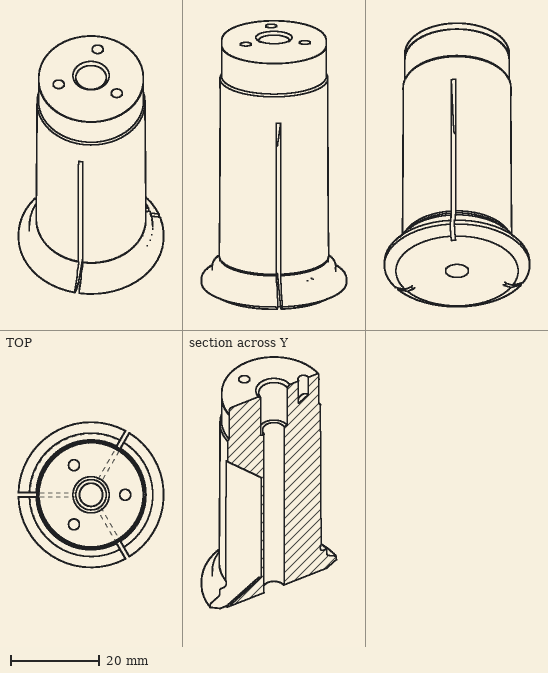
import cadquery as cq
import math

HEIGHT = 60.5

RIM_RADIUS = 33.0 / 2
RIM_BOTTOM = 1.5
RIM_TOP = 2.6
BEVEL_ANGLE = 30.0
BEVEL_BLEND = 0.6
COLLAR_RADIUS = 28.0 / 2
COLLAR_TOP = 6.0
COLLAR_FILLET = 0.5

NECK_RADIUS = 12.3
NECK_FILLET = 0.8
BODY_BOTTOM = 7.9
BODY_EDGE_HEIGHT = 0.4

BODY_BOTTOM_RADIUS = 12.45
BODY_TOP_RADIUS = 24.5 / 2
BODY_TOP = 50.65
SHOULDER_HEIGHT = 0.55

HEAD_RADIUS = 23.8 / 2
HEAD_FILLET = 0.8
GROOVE_TOP = 58.5
GROOVE_HEIGHT = 0.55
GROOVE_DEPTH = 0.1

BORE_DIAMETER = 5.2
COUNTERBORE_DIAMETER = 6.9
COUNTERBORE_DEPTH = 12.1
MOUTH_DIAMETER = 8.2

HOLE_DIAMETER = 2.5
HOLE_PITCH_RADIUS = 7.75
HOLE_DEPTH = 6.05
HOLE_FLOOR_ANGLE = 30.0
HOLE_ANGLES = (0, 120, 240)

SLOT_WIDTH = 0.95
SLOT_INNER_RADIUS = 3.45
SLOT_TOP = 44.3
SLOT_TOP_ANGLE = 45.0
SLOT_FOOT_RADIUS = 12.2
SLOT_FOOT_ANGLE = 30.0
SLOT_OVERRUN = 0.6
SLOT_ANGLES = (60, 180, 300)


def make_sleeve():
    """Revolve the outer outline."""
    bevel_slope = math.tan(math.radians(BEVEL_ANGLE))
    foot_radius = RIM_RADIUS - RIM_BOTTOM / bevel_slope
    collar_bottom = RIM_TOP + (RIM_RADIUS - COLLAR_RADIUS) * bevel_slope
    blend = BEVEL_BLEND * math.tan(math.radians(90 - BEVEL_ANGLE) / 2)
    blend_in = blend * math.cos(math.radians(BEVEL_ANGLE))
    blend_up = blend * math.sin(math.radians(BEVEL_ANGLE))
    outline = (
        cq.Workplane("XZ")
        .lineTo(foot_radius, 0)
        .lineTo(RIM_RADIUS, RIM_BOTTOM)
        .lineTo(RIM_RADIUS, RIM_TOP - blend)
        .tangentArcPoint((RIM_RADIUS - blend_in, RIM_TOP + blend_up), relative=False)
        .lineTo(COLLAR_RADIUS + blend_in, collar_bottom - blend_up)
        .tangentArcPoint((COLLAR_RADIUS, collar_bottom + blend), relative=False)
        .lineTo(COLLAR_RADIUS, COLLAR_TOP - COLLAR_FILLET)
        .tangentArcPoint((COLLAR_RADIUS - COLLAR_FILLET, COLLAR_TOP), relative=False)
        .lineTo(NECK_RADIUS + NECK_FILLET, COLLAR_TOP)
        .tangentArcPoint((NECK_RADIUS, COLLAR_TOP + NECK_FILLET), relative=False)
        .lineTo(NECK_RADIUS, BODY_BOTTOM - BODY_EDGE_HEIGHT)
        .lineTo(BODY_BOTTOM_RADIUS, BODY_BOTTOM)
        .lineTo(BODY_TOP_RADIUS, BODY_TOP)
        .lineTo(HEAD_RADIUS, BODY_TOP + SHOULDER_HEIGHT)
        .lineTo(HEAD_RADIUS, GROOVE_TOP - GROOVE_HEIGHT)
        .lineTo(HEAD_RADIUS - GROOVE_DEPTH, GROOVE_TOP)
        .lineTo(HEAD_RADIUS, GROOVE_TOP)
        .lineTo(HEAD_RADIUS, HEIGHT - HEAD_FILLET)
        .tangentArcPoint((HEAD_RADIUS - HEAD_FILLET, HEIGHT), relative=False)
        .lineTo(0, HEIGHT)
        .close()
    )
    return outline.revolve(360, (0, 0, 0), (0, 1, 0))


def make_bore():
    """Through bore with a counterbore and a 45 degree chamfer at the top."""
    bore_radius = BORE_DIAMETER / 2
    counterbore_radius = COUNTERBORE_DIAMETER / 2
    mouth_radius = MOUTH_DIAMETER / 2
    mouth_bottom = HEIGHT - (mouth_radius - counterbore_radius)
    counterbore_floor = HEIGHT - COUNTERBORE_DEPTH
    outline = cq.Workplane("XZ").polyline([
        (0, 0),
        (bore_radius, 0),
        (bore_radius, counterbore_floor),
        (counterbore_radius, counterbore_floor),
        (counterbore_radius, mouth_bottom),
        (mouth_radius, HEIGHT),
        (0, HEIGHT),
    ]).close()
    return outline.revolve(360, (0, 0, 0), (0, 1, 0))


def make_hole(angle):
    """Blind hole whose floor slopes down towards the axis."""
    radius = HOLE_DIAMETER / 2
    floor = HEIGHT - HOLE_DEPTH
    floor_rise = radius * math.tan(math.radians(HOLE_FLOOR_ANGLE))
    inner = HOLE_PITCH_RADIUS - radius
    outer = HOLE_PITCH_RADIUS + radius
    drill = (
        cq.Workplane("XY", origin=(HOLE_PITCH_RADIUS, 0, 0))
        .circle(radius)
        .extrude(HEIGHT)
    )
    above_floor = (
        cq.Workplane("XZ")
        .polyline([
            (inner, floor - floor_rise),
            (outer, floor + floor_rise),
            (outer, HEIGHT),
            (inner, HEIGHT),
        ])
        .close()
        .extrude(radius, both=True)
    )
    return drill.intersect(above_floor).rotate((0, 0, 0), (0, 0, 1), angle)


def make_slot(angle):
    """Radial slot with a rounded inner end and a slope at its top and bottom."""
    half_width = SLOT_WIDTH / 2
    outer = RIM_RADIUS + SLOT_OVERRUN
    top_slope = math.tan(math.radians(SLOT_TOP_ANGLE))
    foot_slope = math.tan(math.radians(SLOT_FOOT_ANGLE))
    inner_top = SLOT_TOP - (BODY_TOP_RADIUS - SLOT_INNER_RADIUS) * top_slope
    outer_top = inner_top + (outer - SLOT_INNER_RADIUS) * top_slope
    inner_bottom = (SLOT_FOOT_RADIUS - SLOT_INNER_RADIUS) * foot_slope
    side = (
        cq.Workplane("XZ")
        .polyline([
            (SLOT_INNER_RADIUS, inner_bottom),
            (SLOT_FOOT_RADIUS, 0),
            (outer, 0),
            (outer, outer_top),
            (SLOT_INNER_RADIUS, inner_top),
        ])
        .close()
        .extrude(half_width, both=True)
    )
    plan = (
        cq.Workplane("XY")
        .moveTo(outer, -half_width)
        .lineTo(outer, half_width)
        .lineTo(SLOT_INNER_RADIUS + half_width, half_width)
        .threePointArc((SLOT_INNER_RADIUS, 0), (SLOT_INNER_RADIUS + half_width, -half_width))
        .close()
        .extrude(HEIGHT)
    )
    return plan.intersect(side).rotate((0, 0, 0), (0, 0, 1), angle)


result = make_sleeve().cut(make_bore())
for hole_angle in HOLE_ANGLES:
    result = result.cut(make_hole(hole_angle))
for slot_angle in SLOT_ANGLES:
    result = result.cut(make_slot(slot_angle))